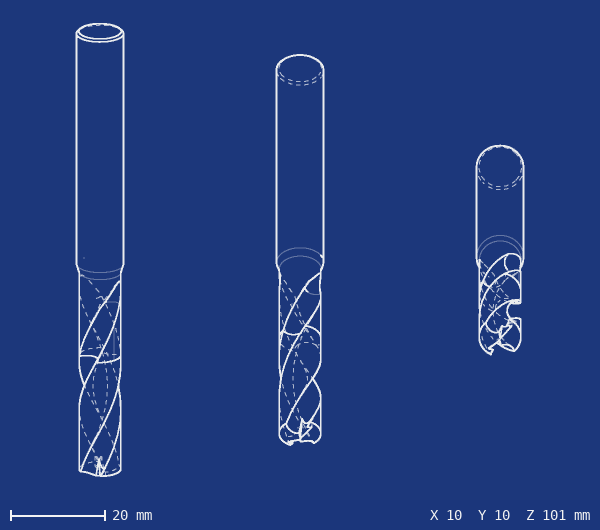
import cadquery as cq
import math

LENGTH = 101.0
SHANK_RADIUS = 5.0
TOP_CHAMFER = 0.5
DRILL_RADIUS = 4.4
TAPER_TOP_Z = 48.2
TAPER_BOTTOM_Z = 46.4
SPLIT_Z = 27.5
POINT_ANGLE = 140.0
POINT_HEIGHT = DRILL_RADIUS / math.tan(math.radians(POINT_ANGLE / 2))

FLUTE_COUNT = 2
FLUTE_LEAD = 55.5
FLUTE_RADIUS = 2.5
FLUTE_CENTRE_RADIUS = 4.0
FLUTE_START_ANGLE = 96.5
FLUTE_END_Z = 39.9
RUNOUT_HEIGHT = 6.7
RUNOUT_OUTWARD_SLOPE = 0.4
RUNOUT_SIDEWAYS_SLOPE = 0.7

GASH_ANGLE_OFFSET = 35.0
GASH_ROOT_RADIUS = 0.2
GASH_TOP_Z = 5.0
GASH_OUTWARD_SLOPE = 0.3
GASH_DEPTH = 2.5
GASH_HALF_WIDTH = 1.6


def make_blank():
    """Turned drill shape before the flutes are ground."""
    return (
        cq.Workplane("XZ")
        .moveTo(0, 0)
        .lineTo(DRILL_RADIUS, POINT_HEIGHT)
        .lineTo(DRILL_RADIUS, TAPER_BOTTOM_Z)
        .lineTo(SHANK_RADIUS, TAPER_TOP_Z)
        .lineTo(SHANK_RADIUS, LENGTH - TOP_CHAMFER)
        .lineTo(SHANK_RADIUS - TOP_CHAMFER, LENGTH)
        .lineTo(0, LENGTH)
        .close()
        .revolve(360, (0, 0, 0), (0, 1, 0))
    )


def make_flute():
    """Helical part of a flute, starting on the +X side at Z = 0."""
    return (
        cq.Workplane("XY")
        .pushPoints([(FLUTE_CENTRE_RADIUS, 0)])
        .circle(FLUTE_RADIUS)
        .twistExtrude(FLUTE_END_Z, 360 * FLUTE_END_Z / FLUTE_LEAD)
    )


def make_runout():
    """Straight flute end that leans around and out of the drill."""
    outward = RUNOUT_OUTWARD_SLOPE * RUNOUT_HEIGHT
    sideways = RUNOUT_SIDEWAYS_SLOPE * RUNOUT_HEIGHT
    runout = (
        cq.Workplane("XY")
        .workplane(offset=FLUTE_END_Z)
        .center(FLUTE_CENTRE_RADIUS, 0)
        .circle(FLUTE_RADIUS)
        .workplane(offset=RUNOUT_HEIGHT)
        .center(outward, sideways)
        .circle(FLUTE_RADIUS)
        .loft(ruled=True)
    )
    return runout.rotate((0, 0, 0), (0, 0, 1), 360 * FLUTE_END_Z / FLUTE_LEAD)


def make_gash():
    """V groove with its root on the +X side, widening away from the axis."""
    v_outline = [(0, 0), (GASH_DEPTH, GASH_HALF_WIDTH), (GASH_DEPTH, -GASH_HALF_WIDTH)]
    return (
        cq.Workplane("XY")
        .center(GASH_ROOT_RADIUS, 0)
        .polyline(v_outline)
        .close()
        .workplane(offset=GASH_TOP_Z)
        .center(GASH_OUTWARD_SLOPE * GASH_TOP_Z, 0)
        .polyline(v_outline)
        .close()
        .loft(ruled=True)
    )


def make_drill():
    """Complete ground drill, still in one piece."""
    drill = make_blank()
    cutters = [
        (make_flute(), 0),
        (make_runout(), 0),
        (make_gash(), GASH_ANGLE_OFFSET),
    ]
    for index in range(FLUTE_COUNT):
        flute_angle = FLUTE_START_ANGLE + index * 360 / FLUTE_COUNT
        for cutter, offset in cutters:
            drill = drill.cut(cutter.rotate((0, 0, 0), (0, 0, 1), flute_angle + offset))
    return drill


def make_head_space():
    """Cylinder enclosing everything below the joint."""
    return cq.Workplane("XY").circle(2 * SHANK_RADIUS).extrude(SPLIT_Z)


def make_cutting_head(drill):
    return drill.intersect(make_head_space())


def make_shank(drill):
    return drill.cut(make_head_space())


drill = make_drill()
cutting_head = make_cutting_head(drill)
shank = make_shank(drill)

result = cq.Compound.makeCompound([cutting_head.val(), shank.val()])